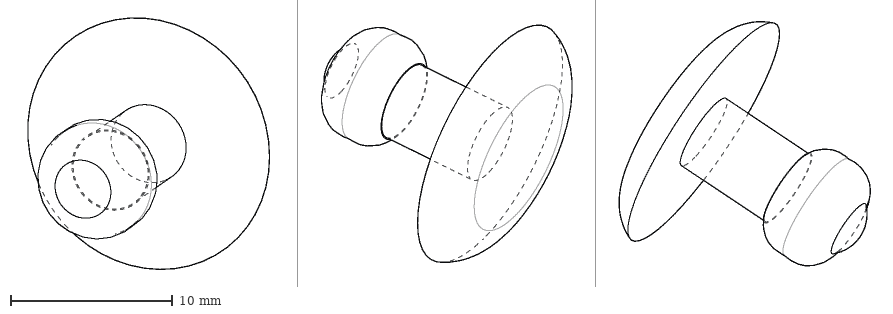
import cadquery as cq
import math


total_length = 14.03
cap_diameter = 16.13
cap_height = 2.14
cap_flat_radius = 4.95
stem_radius = 2.5
stem_length = 6.4
bulb_radius = 3.65
bulb_arc_radius = 2.0
bulb_lobe_spacing = 0.9
bulb_shoulder_radius = 2.58
tip_sphere_radius = 2.5

cap_radius = cap_diameter / 2
rim_width = cap_radius - cap_flat_radius
rim_arc_radius = (rim_width**2 + cap_height**2) / (2 * cap_height)
rim_center_y = cap_height - rim_arc_radius

lobe_center_radius = bulb_radius - bulb_arc_radius
shoulder_y = -stem_length
shoulder_offset = bulb_shoulder_radius - lobe_center_radius
upper_lobe_y = shoulder_y - math.sqrt(bulb_arc_radius**2 - shoulder_offset**2)
lower_lobe_y = upper_lobe_y - bulb_lobe_spacing
waist_y = (upper_lobe_y + lower_lobe_y) / 2
waist_radius = lobe_center_radius + math.sqrt(bulb_arc_radius**2 - (bulb_lobe_spacing / 2) ** 2)

tip_y = cap_height - total_length
tip_center_y = tip_y + tip_sphere_radius


def point_on_arc(center_radius, center_y, arc_radius, angle):
    """Profile point (radius, y) at an angle measured from the radial direction."""
    return (
        center_radius + arc_radius * math.cos(angle),
        center_y + arc_radius * math.sin(angle),
    )


def lower_lobe_tip_junction():
    """Profile point where the lower lobe meets the spherical tip (outer circle crossing)."""
    center_distance = math.hypot(lobe_center_radius, lower_lobe_y - tip_center_y)
    radial_dir = lobe_center_radius / center_distance
    axial_dir = (lower_lobe_y - tip_center_y) / center_distance
    along = (center_distance**2 + tip_sphere_radius**2 - bulb_arc_radius**2) / (2 * center_distance)
    across = math.sqrt(tip_sphere_radius**2 - along**2)
    return (
        along * radial_dir + across * axial_dir,
        tip_center_y + along * axial_dir - across * radial_dir,
    )


def rivet_profile():
    """Closed half section on the +X side of the axis."""
    rim_end_angle = math.atan2(-rim_center_y, rim_width)
    rim_middle_angle = (math.pi / 2 + rim_end_angle) / 2
    rim_middle = point_on_arc(cap_flat_radius, rim_center_y, rim_arc_radius, rim_middle_angle)
    upper_lobe_crest = (bulb_radius, upper_lobe_y)
    lower_lobe_crest = (bulb_radius, lower_lobe_y)
    junction = lower_lobe_tip_junction()
    junction_angle = math.atan2(junction[1] - tip_center_y, junction[0])
    tip_middle_angle = (junction_angle - math.pi / 2) / 2
    tip_middle = point_on_arc(0, tip_center_y, tip_sphere_radius, tip_middle_angle)
    return (
        cq.Workplane("XY")
        .moveTo(0, cap_height)
        .lineTo(cap_flat_radius, cap_height)
        .threePointArc(rim_middle, (cap_radius, 0))
        .lineTo(stem_radius, 0)
        .lineTo(stem_radius, shoulder_y)
        .lineTo(bulb_shoulder_radius, shoulder_y)
        .threePointArc(upper_lobe_crest, (waist_radius, waist_y))
        .threePointArc(lower_lobe_crest, junction)
        .threePointArc(tip_middle, (0, tip_y))
        .close()
    )


result = rivet_profile().revolve(360, (0, 0, 0), (0, 1, 0))